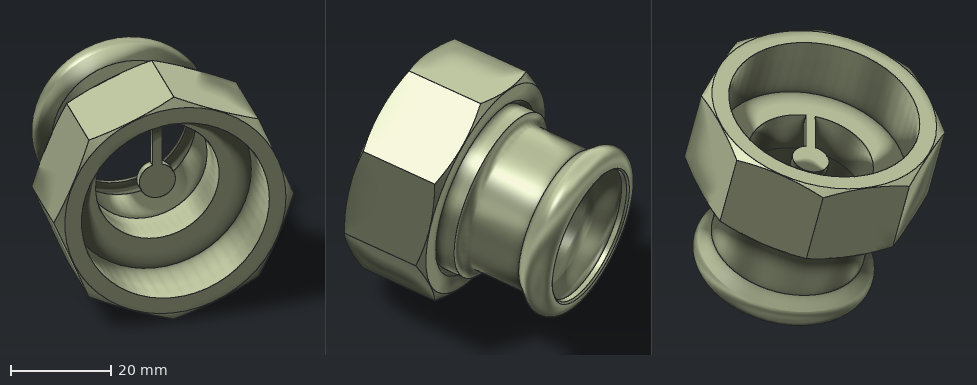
import cadquery as cq
import math

total_length = 43.7
nut_across_corners = 49.8
nut_face_x = 24.65

bead_radius = 3.0
bead_ring_radius = 15.55
bead_end_x = 4.85
tube_radius = 31.3 / 2
tube_start_x = 7.35
collar_x = 21.0
collar_radius = 36.1 / 2
root_fillet = 1.95

mouth_radius = 14.8
mouth_chamfer_length = 0.4
entry_radius = 28.8 / 2
socket_radius = 28.2 / 2
socket_blend_radius = 3.15
bore_radius = 25.6 / 2
shoulder_x = collar_x

groove_radius = bead_radius - (tube_radius - socket_radius)
groove_wall_x = bead_radius - groove_radius

lip_thickness = 3.0
flange_radius = 38.95 / 2
flange_thickness = 2.5
flange_x = nut_face_x + lip_thickness
tube_end_x = flange_x + flange_thickness

disc_radius = 3.75
rib_width = 1.95
disc_thickness = 2.0
disc_x = tube_end_x - disc_thickness
rib_embed = 0.5

nut_sides = 8
nut_chamfer_angle = 30.0
nut_chamfer_radius = 22.9
countersink_radius = 19.1
countersink_depth = countersink_radius - collar_radius


def revolve_about_x(profile):
    """Revolve a closed (x, radius) profile about the X axis."""
    return profile.close().revolve(360, (0, 0, 0), (1, 0, 0))


def make_tube_shell():
    """Beaded tube with its collar, flange and stepped bore."""
    bead_angle = math.acos((bead_end_x - bead_radius) / bead_radius)
    normal_x = math.cos(bead_angle)
    normal_r = math.sin(bead_angle)
    bead_end_radius = bead_ring_radius + bead_radius * normal_r
    groove_end = (bead_radius + groove_radius * normal_x, bead_ring_radius + groove_radius * normal_r)

    blend_center_radius = socket_radius + socket_blend_radius
    blend_center_offset = groove_radius + socket_blend_radius
    radial_part = (blend_center_radius - bead_ring_radius) * normal_r
    socket_start_x = bead_radius + (blend_center_offset - radial_part) / normal_x
    blend_start = (
        socket_start_x - socket_blend_radius * normal_x,
        blend_center_radius - socket_blend_radius * normal_r,
    )
    blend_mid_angle = (bead_angle + math.pi / 2) / 2
    blend_mid = (
        socket_start_x - socket_blend_radius * math.cos(blend_mid_angle),
        blend_center_radius - socket_blend_radius * math.sin(blend_mid_angle),
    )

    fillet_start_x = collar_x - root_fillet
    fillet_mid_x = fillet_start_x + root_fillet * math.sin(math.pi / 4)
    fillet_mid_radius = tube_radius + root_fillet * (1 - math.cos(math.pi / 4))
    profile = (
        cq.Workplane("XY")
        .moveTo(0, mouth_radius)
        .lineTo(0, bead_ring_radius)
        .threePointArc((bead_radius, bead_ring_radius + bead_radius), (bead_end_x, bead_end_radius))
        .lineTo(tube_start_x, tube_radius)
        .lineTo(fillet_start_x, tube_radius)
        .threePointArc((fillet_mid_x, fillet_mid_radius), (collar_x, tube_radius + root_fillet))
        .lineTo(collar_x, collar_radius)
        .lineTo(flange_x, collar_radius)
        .lineTo(flange_x, flange_radius)
        .lineTo(tube_end_x, flange_radius)
        .lineTo(tube_end_x, bore_radius)
        .lineTo(shoulder_x, bore_radius)
        .lineTo(shoulder_x, socket_radius)
        .lineTo(socket_start_x, socket_radius)
        .threePointArc(blend_mid, blend_start)
        .lineTo(*groove_end)
        .threePointArc((bead_radius, bead_ring_radius + groove_radius), (groove_wall_x, bead_ring_radius))
        .lineTo(groove_wall_x, entry_radius)
        .lineTo(mouth_chamfer_length, entry_radius)
    )
    return revolve_about_x(profile)


def make_disc_and_rib():
    """Central disc and the rib that joins it to the top of the bore."""
    plane = cq.Workplane("YZ", origin=(disc_x, 0, 0))
    rib_length = bore_radius + rib_embed
    disc = plane.circle(disc_radius).extrude(disc_thickness)
    rib = plane.center(0, rib_length / 2).rect(rib_width, rib_length).extrude(disc_thickness)
    return disc.union(rib)


def make_nut_blank():
    """Octagonal prism with corners on the Y and Z axes, chamfered at both ends."""
    prism = (
        cq.Workplane("YZ", origin=(nut_face_x, 0, 0))
        .polygon(nut_sides, nut_across_corners)
        .extrude(total_length - nut_face_x)
    )
    envelope_radius = nut_across_corners / 2 + 0.5
    cone_length = (envelope_radius - nut_chamfer_radius) * math.tan(math.radians(nut_chamfer_angle))
    envelope = revolve_about_x(
        cq.Workplane("XY")
        .moveTo(nut_face_x, 0)
        .lineTo(nut_face_x, nut_chamfer_radius)
        .lineTo(nut_face_x + cone_length, envelope_radius)
        .lineTo(total_length - cone_length, envelope_radius)
        .lineTo(total_length, nut_chamfer_radius)
        .lineTo(total_length, 0)
    )
    return prism.intersect(envelope)


def make_nut_bore():
    """Countersunk lip hole opening into the wider bore."""
    return revolve_about_x(
        cq.Workplane("XY")
        .moveTo(nut_face_x, 0)
        .lineTo(nut_face_x, countersink_radius)
        .lineTo(nut_face_x + countersink_depth, collar_radius)
        .lineTo(flange_x, collar_radius)
        .lineTo(flange_x, flange_radius)
        .lineTo(total_length, flange_radius)
        .lineTo(total_length, 0)
    )


tube = make_tube_shell().union(make_disc_and_rib())
nut = make_nut_blank().cut(make_nut_bore())

result = cq.Compound.makeCompound([tube.val(), nut.val()])